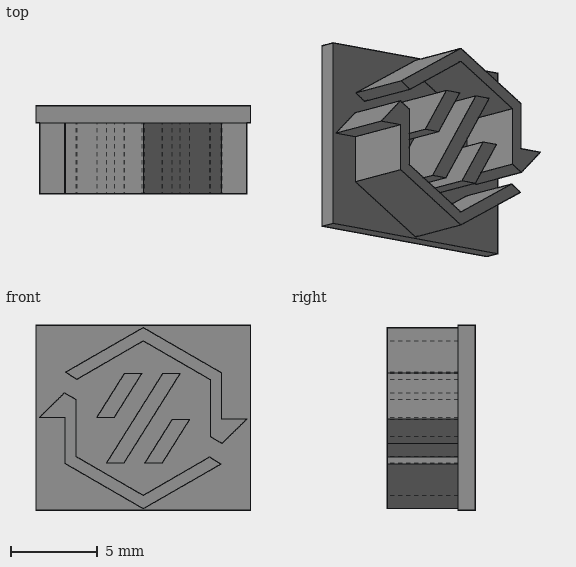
import cadquery as cq

plate_width = 12.4
plate_height = 10.7
plate_thickness = 1.0
relief_height = 5.1 - plate_thickness

arrow_centre_z = -0.02
apex_outer_z = 5.23
apex_inner_z = 4.46
side_outer_x = 4.53
side_inner_x = 3.88
corner_outer_z = 2.62
corner_inner_z = 2.22
tail_outer = (-4.49, 2.65)
tail_inner = (-3.83, 2.25)
barb_x = 5.99
barb_z = -0.05
head_tip = (4.55, -1.46)
head_inner_z = -1.07

bar_centre_z = -0.04
bar_width = 1.0
bar_half_height = 2.59
bar_slant = 0.628
long_bar_base_x = -bar_slant * bar_half_height - bar_width / 2
short_bar_base_x = -2.68
short_bar_base_z = 0.06


def raise_outline(points, centre_z):
    """Extrude an XZ outline from the plate toward -Y, placed around centre_z."""
    return (
        cq.Workplane("XZ", origin=(0, 0, centre_z))
        .polyline(points)
        .close()
        .extrude(relief_height)
    )


def half_turn(body, centre_z):
    """Rotate a body by 180 degrees about the Y direction through (0, centre_z)."""
    return body.rotate((0, 0, centre_z), (0, 1, centre_z), 180)


def slanted_bar(base_x, base_z):
    """Parallelogram bar from base_z up to the common top of the bars."""
    shift = bar_slant * (bar_half_height - base_z)
    outline = [
        (base_x, base_z),
        (base_x + bar_width, base_z),
        (base_x + bar_width + shift, bar_half_height),
        (base_x + shift, bar_half_height),
    ]
    return raise_outline(outline, bar_centre_z)


plate = cq.Workplane("XY").box(plate_width, plate_thickness, plate_height)
plate = plate.translate((0, plate_thickness / 2, 0))

upper_arrow = raise_outline(
    [
        tail_outer,
        (0, apex_outer_z),
        (side_outer_x, corner_outer_z),
        (side_outer_x, barb_z),
        (barb_x, barb_z),
        head_tip,
        (side_inner_x, head_inner_z),
        (side_inner_x, corner_inner_z),
        (0, apex_inner_z),
        tail_inner,
    ],
    arrow_centre_z,
)
lower_arrow = half_turn(upper_arrow, arrow_centre_z)

long_bar = slanted_bar(long_bar_base_x, -bar_half_height)
upper_short_bar = slanted_bar(short_bar_base_x, short_bar_base_z)
lower_short_bar = half_turn(upper_short_bar, bar_centre_z)

result = plate
for raised_body in (upper_arrow, lower_arrow, long_bar, upper_short_bar, lower_short_bar):
    result = result.union(raised_body)